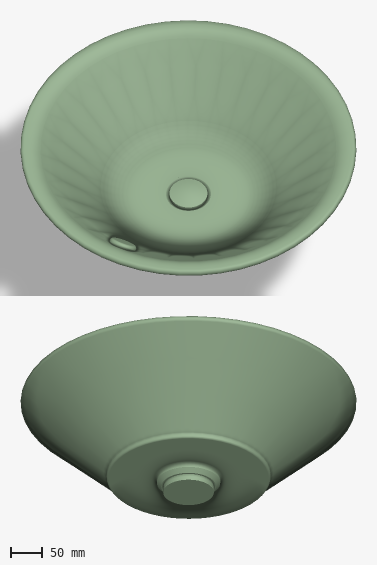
import cadquery as cq
import math

WALL_ANGLE = 43.4
WALL_SLOPE = math.tan(math.radians(WALL_ANGLE))

RIM_RADIUS = 265.0
BASIN_HEIGHT = 144.5
RIM_ROUND = 5.5
FOOT_RADIUS = 129.5
FOOT_HEIGHT = 8.0
FOOT_ROUND = 3.0

MOUTH_RADIUS = 244.0
MOUTH_ROUND = 36.0
FLOOR_RADIUS = 121.5
FLOOR_ROUND = 60.0
FLOOR_HEIGHT = BASIN_HEIGHT - (MOUTH_RADIUS - FLOOR_RADIUS) * WALL_SLOPE

BOSS_RADIUS = 100.0 / 2
BOSS_ROUND = 5.0
BOSS_DEPTH = 15.0
BOSS_CHAMFER = 7.0

DRAIN_RADIUS = 37.0
DRAIN_LAND = 1.5
DISH_KNEE_RADIUS = 32.5
DISH_KNEE_DEPTH = 2.5
DISH_DEPTH = 5.0
TAIL_RADIUS = 80.0 / 2
TAIL_BOTTOM = -25.5

PLUG_RADIUS = 60.0 / 2
PLUG_EDGE_HEIGHT = 6.5
PLUG_DOME_RISE = 5.5

CAP_RADIUS = 44.0 / 2
CAP_EDGE_HEIGHT = 8.0
CAP_ROUND = 5.0
CAP_DOME_RISE = 0.5
CAP_SEAT_DEPTH = 1.5
CAP_AXIS_RADIUS = 212.0


def rounded_revolve(corners):
    """Revolve a closed outline of (radius, height, corner rounding) about Z."""
    path = None
    for i, (r, z, rounding) in enumerate(corners):
        corner = cq.Vector(r, z)
        before = cq.Vector(*corners[i - 1][:2])
        after = cq.Vector(*corners[(i + 1) % len(corners)][:2])
        to_before = (before - corner).normalized()
        to_after = (after - corner).normalized()
        half_angle = to_before.getAngle(to_after) / 2
        tangent_length = rounding / math.tan(half_angle)
        arc_start = corner + to_before * tangent_length
        if path is None:
            path = cq.Workplane("XZ").moveTo(arc_start.x, arc_start.y)
        else:
            path = path.lineTo(arc_start.x, arc_start.y)
        if rounding > 0:
            bisector = (to_before + to_after).normalized()
            to_arc = rounding / math.sin(half_angle) - rounding
            arc_middle = corner + bisector * to_arc
            arc_end = corner + to_after * tangent_length
            path = path.threePointArc((arc_middle.x, arc_middle.y), (arc_end.x, arc_end.y))
    return path.close().revolve(360, (0, 0, 0), (0, 1, 0))


def cap_plane():
    """Plane tangent to the inner wall at the cap, with its normal into the basin."""
    angle = math.radians(WALL_ANGLE)
    wall_height = FLOOR_HEIGHT + (CAP_AXIS_RADIUS - FLOOR_RADIUS) * WALL_SLOPE
    return cq.Plane(
        origin=(0, -CAP_AXIS_RADIUS, wall_height),
        xDir=(1, 0, 0),
        normal=(0, math.sin(angle), math.cos(angle)),
    )


def domed_disc(radius, bottom, edge, rise, edge_round=0):
    """Disc on the Z axis, rounded at its upper edge, with a shallow spherical top."""
    dome_edge = radius - edge_round
    apex = edge + rise
    sphere_radius = (dome_edge**2 + rise**2) / (2 * rise)
    dome_middle_radius = dome_edge / 2
    dome_middle_height = apex - sphere_radius + math.sqrt(sphere_radius**2 - dome_middle_radius**2)
    outline = (
        cq.Workplane("XZ")
        .moveTo(0, bottom)
        .lineTo(radius, bottom)
        .lineTo(radius, edge - edge_round)
    )
    if edge_round > 0:
        outline = outline.tangentArcPoint((dome_edge, edge), relative=False)
    outline = outline.threePointArc((dome_middle_radius, dome_middle_height), (0, apex)).close()
    return outline.revolve(360, (0, 0, 0), (0, 1, 0))


def make_basin():
    wall_top = FOOT_HEIGHT + (RIM_RADIUS - FOOT_RADIUS) * WALL_SLOPE
    body = rounded_revolve([
        (DRAIN_RADIUS, FLOOR_HEIGHT, 0),
        (DRAIN_RADIUS, -BOSS_DEPTH, 0),
        (BOSS_RADIUS - BOSS_CHAMFER, -BOSS_DEPTH, 0),
        (BOSS_RADIUS, BOSS_CHAMFER - BOSS_DEPTH, 0),
        (BOSS_RADIUS, 0, BOSS_ROUND),
        (FOOT_RADIUS, 0, FOOT_ROUND),
        (FOOT_RADIUS, FOOT_HEIGHT, FOOT_ROUND),
        (RIM_RADIUS, wall_top, RIM_ROUND),
        (RIM_RADIUS, BASIN_HEIGHT, RIM_ROUND),
        (MOUTH_RADIUS, BASIN_HEIGHT, MOUTH_ROUND),
        (FLOOR_RADIUS, FLOOR_HEIGHT, FLOOR_ROUND),
    ])
    cap_seat = (
        cq.Workplane(cap_plane())
        .workplane(offset=-CAP_SEAT_DEPTH)
        .circle(CAP_RADIUS)
        .extrude(CAP_SEAT_DEPTH + CAP_EDGE_HEIGHT)
    )
    return body.cut(cap_seat).solids()


def make_drain():
    return rounded_revolve([
        (0, TAIL_BOTTOM, 0),
        (TAIL_RADIUS, TAIL_BOTTOM, 0),
        (TAIL_RADIUS, -BOSS_DEPTH, 0),
        (DRAIN_RADIUS, -BOSS_DEPTH, 0),
        (DRAIN_RADIUS, FLOOR_HEIGHT, 0),
        (DRAIN_RADIUS - DRAIN_LAND, FLOOR_HEIGHT, 0),
        (DISH_KNEE_RADIUS, FLOOR_HEIGHT - DISH_KNEE_DEPTH, 0),
        (PLUG_RADIUS, FLOOR_HEIGHT - DISH_DEPTH, 0),
        (0, FLOOR_HEIGHT - DISH_DEPTH, 0),
    ])


def make_plug():
    bottom = FLOOR_HEIGHT - DISH_DEPTH
    return domed_disc(PLUG_RADIUS, bottom, bottom + PLUG_EDGE_HEIGHT, PLUG_DOME_RISE)


def make_overflow_cap():
    upright = domed_disc(CAP_RADIUS, -CAP_SEAT_DEPTH, CAP_EDGE_HEIGHT, CAP_DOME_RISE, CAP_ROUND)
    return cq.Workplane(upright.val().located(cq.Location(cap_plane())))


basin = make_basin()
drain = make_drain()
plug = make_plug()
overflow_cap = make_overflow_cap()

result = cq.Compound.makeCompound([basin.val(), drain.val(), plug.val(), overflow_cap.val()])